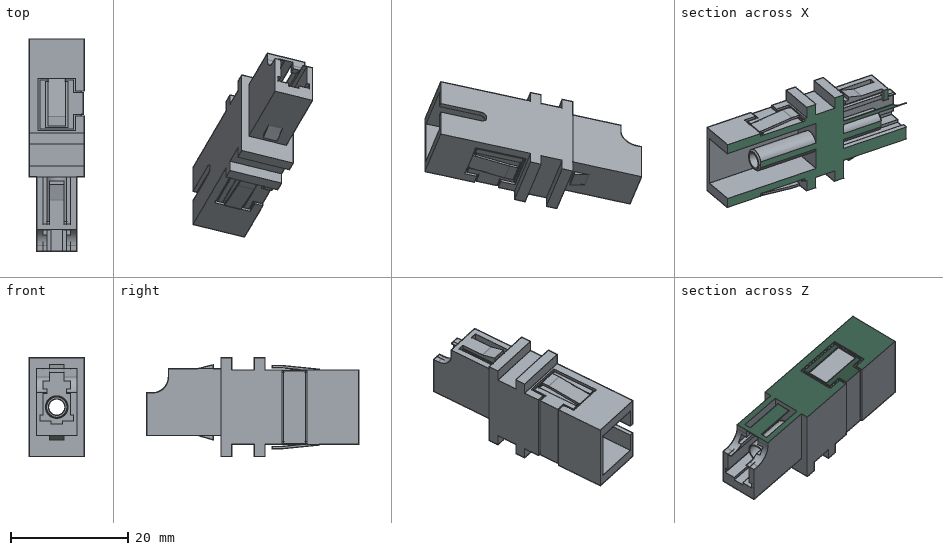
import cadquery as cq
import math

LENGTH = 36.17

BODY_WIDTH = 9.4
BODY_HEIGHT = 12.73
BODY_FRONT = 12.65
FLANGE_HEIGHT = 16.9
FLANGE_THICKNESS = 1.88
REAR_FLANGE_FRONT = 18.3

PLUG_WIDTH = 6.85
PLUG_TOP = 6.6
PLUG_BOTTOM = -4.85
NOTCH_LENGTH = 3.7
NOTCH_FLOOR = 2.45
NOTCH_RADIUS = 2.68

ROOF_HALF = 1.25
WALL_HALF = 2.35
LIP_HALF = 1.7
FOOT_HALF = 2.9
GROOVE_HALF = 0.95
ROOF_Z = 5.93
SHOULDER_Z = 4.4
LIP_TOP_Z = 3.1
LIP_BOTTOM_Z = 2.35
FOOT_TOP_Z = -1.37
FLOOR_Z = -2.35
GROOVE_Z = -2.9

SLOT_FRONT = 4.63
BEAM_TIP = 12.0
LATCH_START = 8.75
LATCH_PEAK = 11.35
UPPER_LATCH_Z = 7.25
LOWER_LATCH_Z = -5.6

CAVITY_WIDTH = 7.9
CAVITY_HEIGHT = 8.97
CAVITY_FRONT = REAR_FLANGE_FRONT
KEY_SLOT_WIDTH = 2.05
KEY_SLOT_END = 28.0

TUBE_RADIUS = 1.9
TUBE_FRONT = 5.05
TUBE_BACK = 29.73
TUBE_CHAMFER = 0.3
SLEEVE_BORE_RADIUS = 1.75
BORE_RADIUS = 1.37

CLIP_THICKNESS = 0.33
CLIP_INSET = 0.18
RECESS_DEPTH = CLIP_THICKNESS + CLIP_INSET
CLIP_HALF_WIDTH = 2.9
CLIP_FRONT, CLIP_BACK = 20.87, 29.15
STRAP_FRONT, STRAP_BACK = 23.33, 27.05
CLIP_GAP = 0.33
STRAP_GAP = 0.25
WINDOW_WIDTH = 3.85
WINDOW_FRONT, WINDOW_BACK = 21.1, 28.95

TONGUE_WIDTH = 2.95
TONGUE_THICKNESS = 0.45
TONGUE_TIP = 21.38
TONGUE_BEND = 22.93
TONGUE_ROOT_RISE = 0.1
TONGUE_TIP_RISE = 0.75


def block(x_range, y_range, z_range):
    """Box between the given pairs of X, Y and Z limits."""
    lows, highs = zip(x_range, y_range, z_range)
    size = [high - low for low, high in zip(lows, highs)]
    return cq.Workplane("XY").box(*size, centered=False).translate(lows)


def centered_block(width, y_range, z_range):
    return block((-width / 2, width / 2), y_range, z_range)


def cylinder(radius, front, back):
    """Cylinder on the bore axis."""
    return cq.Workplane("XZ", origin=(0, front, 0)).circle(radius).extrude(front - back)


def side_profile(width, points):
    """Prism across X, centred on x = 0, with its section given as (y, z) points."""
    return cq.Workplane("YZ").polyline(points).close().extrude(width / 2, both=True)


def outer_shell():
    """Solid body block with the two flanges around it."""
    half_body = BODY_HEIGHT / 2
    half_flange = FLANGE_HEIGHT / 2
    shell = centered_block(BODY_WIDTH, (BODY_FRONT, LENGTH), (-half_body, half_body))
    for front in (BODY_FRONT, REAR_FLANGE_FRONT):
        flange_span = (front, front + FLANGE_THICKNESS)
        shell = shell.union(centered_block(BODY_WIDTH, flange_span, (-half_flange, half_flange)))
    return shell


def plug():
    """Plug block with a round-cornered notch across its upper front edge."""
    arc_inset = NOTCH_RADIUS * (1 - math.sqrt(0.5))
    outline = (
        cq.Workplane("YZ")
        .moveTo(0, PLUG_BOTTOM)
        .lineTo(0, NOTCH_FLOOR)
        .lineTo(NOTCH_LENGTH - NOTCH_RADIUS, NOTCH_FLOOR)
        .threePointArc(
            (NOTCH_LENGTH - arc_inset, NOTCH_FLOOR + arc_inset),
            (NOTCH_LENGTH, NOTCH_FLOOR + NOTCH_RADIUS),
        )
        .lineTo(NOTCH_LENGTH, PLUG_TOP)
        .lineTo(BODY_FRONT, PLUG_TOP)
        .lineTo(BODY_FRONT, PLUG_BOTTOM)
        .close()
    )
    return outline.extrude(PLUG_WIDTH / 2, both=True)


def plug_pocket():
    """Stepped pocket, mirrored about x = 0, from the plug end to the front flange."""
    right_side = [
        (ROOF_HALF, ROOF_Z),
        (ROOF_HALF, SHOULDER_Z),
        (WALL_HALF, SHOULDER_Z),
        (WALL_HALF, LIP_TOP_Z),
        (LIP_HALF, LIP_TOP_Z),
        (LIP_HALF, LIP_BOTTOM_Z),
        (WALL_HALF, LIP_BOTTOM_Z),
        (WALL_HALF, FOOT_TOP_Z),
        (FOOT_HALF, FOOT_TOP_Z),
        (FOOT_HALF, FLOOR_Z),
        (GROOVE_HALF, FLOOR_Z),
        (GROOVE_HALF, GROOVE_Z),
    ]
    left_side = [(-x, z) for x, z in reversed(right_side)]
    return cq.Workplane("XZ").polyline(right_side + left_side).close().extrude(-BODY_FRONT)


def latch_clearance():
    """Opening in the plug roof that frees the latch beam on both sides and at its tip."""
    heights = (SHOULDER_Z, PLUG_TOP)
    opening = centered_block(2 * WALL_HALF, (SLOT_FRONT, BODY_FRONT), heights)
    return opening.cut(centered_block(2 * ROOF_HALF, (SLOT_FRONT, BEAM_TIP), heights))


def latch_wedge(base_z, peak_z):
    """Ramp that rises from the plug surface to a square catch facing the flange."""
    points = [(LATCH_START, base_z), (LATCH_PEAK, peak_z), (LATCH_PEAK, base_z)]
    return side_profile(2 * ROOF_HALF, points)


def key_slot():
    """Round-ended slot through the -X wall of the socket."""
    radius = KEY_SLOT_WIDTH / 2
    arc_center = KEY_SLOT_END + radius
    x_range = (-BODY_WIDTH / 2, -CAVITY_WIDTH / 2)
    slot = block(x_range, (arc_center, LENGTH), (-radius, radius))
    round_end = (
        cq.Workplane("YZ", origin=(x_range[0], 0, 0))
        .center(arc_center, 0)
        .circle(radius)
        .extrude(x_range[1] - x_range[0])
    )
    return slot.union(round_end)


def ferrule_tubes():
    """Front tube inside the plug and chamfered back tube inside the socket."""
    front_tube = cylinder(TUBE_RADIUS, TUBE_FRONT, BODY_FRONT)
    back_tube = cylinder(TUBE_RADIUS, CAVITY_FRONT, TUBE_BACK)
    return front_tube, back_tube.faces(">Y").chamfer(TUBE_CHAMFER)


def wrap(plate_half, plate_span, strap_span, outer_inset, inner_inset):
    """C-shaped layer: a plate above and below, joined by a strap round the +X side.

    The insets are the depths of its outer and inner faces below the body surface.
    """
    outer_x, inner_x = BODY_WIDTH / 2 - outer_inset, BODY_WIDTH / 2 - inner_inset
    outer_z, inner_z = BODY_HEIGHT / 2 - outer_inset, BODY_HEIGHT / 2 - inner_inset
    layer = block((inner_x, outer_x), strap_span, (-outer_z, outer_z))
    for heights in ((inner_z, outer_z), (-outer_z, -inner_z)):
        layer = layer.union(centered_block(2 * plate_half, plate_span, heights))
        layer = layer.union(block((0, outer_x), strap_span, heights))
    return layer


def clip_recess():
    """Recess with a gap all round the edges of the clip."""
    return wrap(
        CLIP_HALF_WIDTH + CLIP_GAP,
        (CLIP_FRONT - CLIP_GAP, CLIP_BACK + CLIP_GAP),
        (STRAP_FRONT - STRAP_GAP, STRAP_BACK + STRAP_GAP),
        0,
        RECESS_DEPTH,
    )


def make_housing():
    """Flanged body with plug, socket, ferrule tubes and clip recess."""
    front_tube, back_tube = ferrule_tubes()
    cavity_half = CAVITY_HEIGHT / 2
    cavity = centered_block(CAVITY_WIDTH, (CAVITY_FRONT, LENGTH), (-cavity_half, cavity_half))
    return (
        outer_shell()
        .union(plug())
        .cut(plug_pocket())
        .cut(latch_clearance())
        .union(latch_wedge(PLUG_TOP, UPPER_LATCH_Z))
        .union(latch_wedge(PLUG_BOTTOM, LOWER_LATCH_Z))
        .cut(cavity)
        .cut(key_slot())
        .union(front_tube)
        .union(back_tube)
        .cut(cylinder(BORE_RADIUS, TUBE_FRONT, TUBE_BACK))
        .cut(cylinder(SLEEVE_BORE_RADIUS, TUBE_FRONT, BODY_FRONT))
        .cut(clip_recess())
    )


def clip_tongue():
    """Upper tongue, rising from the back edge of the recess to a flat tip."""
    root_y = CLIP_BACK + CLIP_GAP
    root_z = BODY_HEIGHT / 2 + TONGUE_ROOT_RISE
    tip_z = BODY_HEIGHT / 2 + TONGUE_TIP_RISE
    top_edge = [(root_y, root_z), (TONGUE_BEND, tip_z), (TONGUE_TIP, tip_z)]
    bottom_edge = [(y, z - TONGUE_THICKNESS) for y, z in reversed(top_edge)]
    return side_profile(TONGUE_WIDTH, top_edge + bottom_edge)


def make_clip():
    """Sheet clip with a windowed plate and a spring tongue above and below."""
    window = centered_block(WINDOW_WIDTH, (WINDOW_FRONT, WINDOW_BACK), (-BODY_HEIGHT, BODY_HEIGHT))
    tongue = clip_tongue()
    return (
        wrap(
            CLIP_HALF_WIDTH,
            (CLIP_FRONT, CLIP_BACK),
            (STRAP_FRONT, STRAP_BACK),
            CLIP_INSET,
            RECESS_DEPTH,
        )
        .cut(window)
        .union(tongue)
        .union(tongue.mirror("XY"))
    )


housing = make_housing().solids()
clip = make_clip().solids()

result = cq.Compound.makeCompound([housing.val(), clip.val()])